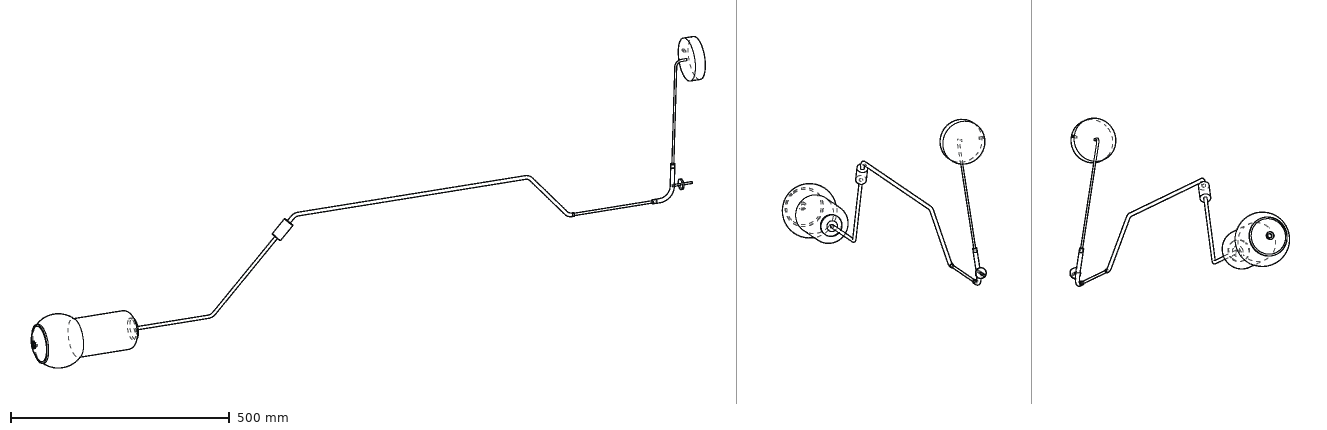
import cadquery as cq
import math

SWING_ANGLE = 8.32
YAW_ANGLE = 0.4
TILT_ANGLE = 1.9

CANOPY_DIAMETER = 100.0
CANOPY_THICKNESS = 25.0
GRUB_HOLE_DIAMETER = 5.0
GRUB_HOLE_DEPTH = 10.0

HANGER_DIAMETER = 5.0
SLEEVE_DIAMETER = 10.0
LOWER_ROD_DIAMETER = 6.0
ARM_DIAMETER = 9.0
END_ROD_DIAMETER = 8.0
SLEEVE_SOCKET_DEPTH = 10.0
ARM_SOCKET_DEPTH = 4.0

HANGER_OUT = 52.0
ELBOW_HEIGHT = -348.0
ARM_START_OUT = 296.0
LOWER_BEND_OUT = 309.0
UPPER_BEND_OUT = 411.0
ARM_HEIGHT = -234.0
ARM_END_OUT = 993.0
END_ROD_HEIGHT = -458.5
END_BEND_OUT = 1193.0
HANGER_BEND_RADIUS = 14.0
ELBOW_RADIUS = 30.0
ARM_BEND_RADIUS = 20.0
SLEEVE_TOP_HEIGHT = -260.0
SLEEVE_END_OUT = 100.0

SCREW_HEIGHT = -315.0
SCREW_DIAMETER = 5.0
SCREW_TIP_OUT = 3.0
THUMB_DISC_DIAMETER = 25.0
THUMB_DISC_THICKNESS = 4.0
THUMB_DISC_OUT = 28.0

WEIGHT_DIAMETER = 25.0
WEIGHT_LENGTH = 45.0
WEIGHT_START = 22.0

NECK_DIAMETER = 25.0
NECK_LENGTH = 5.0
FLANGE_DIAMETER = 50.0
FLANGE_THICKNESS = 6.0
FLANGE_OUT = 1381.0
HEAD_DIAMETER = 90.0
SHOULDER_ROUNDING = 16.0
GLOBE_DIAMETER = 125.0
GLOBE_OUT = 1574.5
LENS_DIAMETER = 82.0
LENS_HOLE_DIAMETER = 18.0
LENS_HOLE_DEPTH = 3.0
LENS_PIN_HOLE_DIAMETER = 10.0
LENS_PIN_HOLE_DEPTH = 8.0


def point(out, height):
    return cq.Vector(0, -out, height)


def toward(start, end, distance):
    """The point at a distance from start on the line to end."""
    return start + (end - start).normalized() * distance


def rod(diameter, points, bend_radius=0.0):
    """A round rod through the points, each inner corner bent to the given radius."""
    edges = []
    start = points[0]
    for before, corner, after in zip(points, points[1:], points[2:]):
        back = (before - corner).normalized()
        ahead = (after - corner).normalized()
        half_angle = back.getAngle(ahead) / 2
        setback = bend_radius / math.tan(half_angle)
        bisector = (back + ahead).normalized()
        middle = corner + bisector * (bend_radius / math.sin(half_angle) - bend_radius)
        bend_start = corner + back * setback
        bend_end = corner + ahead * setback
        edges.append(cq.Edge.makeLine(start, bend_start))
        edges.append(cq.Edge.makeThreePointArc(bend_start, middle, bend_end))
        start = bend_end
    edges.append(cq.Edge.makeLine(start, points[-1]))
    path = cq.Workplane(cq.Wire.assembleEdges(edges))
    profile_plane = cq.Plane(points[0], xDir=(1, 0, 0), normal=points[1] - points[0])
    return cq.Workplane(profile_plane).circle(diameter / 2).sweep(path)


def cylinder(diameter, length, start, direction):
    plane = cq.Plane(start, xDir=(1, 0, 0), normal=direction)
    return cq.Workplane(plane).circle(diameter / 2).extrude(length)


OUTWARD = cq.Vector(0, -1, 0)
INWARD = cq.Vector(0, 1, 0)

hanger_corner = point(HANGER_OUT, 0)
elbow_corner = point(HANGER_OUT, ELBOW_HEIGHT)
lower_bend = point(LOWER_BEND_OUT, ELBOW_HEIGHT)
upper_bend = point(UPPER_BEND_OUT, ARM_HEIGHT)
arm_end = point(ARM_END_OUT, ARM_HEIGHT)
end_bend = point(END_BEND_OUT, END_ROD_HEIGHT)
slope_down = (end_bend - arm_end).normalized()
weight_top = toward(arm_end, end_bend, WEIGHT_START)
weight_bottom = toward(arm_end, end_bend, WEIGHT_START + WEIGHT_LENGTH)


def make_canopy():
    """Round plate with a grub-screw hole in its -X side."""
    plate = cylinder(CANOPY_DIAMETER, CANOPY_THICKNESS, point(0, 0), OUTWARD)
    grub_hole = (
        cq.Workplane("YZ", origin=(-CANOPY_DIAMETER / 2, -CANOPY_THICKNESS / 2, 0))
        .circle(GRUB_HOLE_DIAMETER / 2)
        .extrude(GRUB_HOLE_DEPTH)
    )
    return plate.cut(grub_hole)


def make_hanger():
    """Rod that leaves the canopy, bends down and enters the top of the sleeve."""
    top = point(CANOPY_THICKNESS, 0)
    bottom = point(HANGER_OUT, SLEEVE_TOP_HEIGHT - SLEEVE_SOCKET_DEPTH)
    return rod(HANGER_DIAMETER, [top, hanger_corner, bottom], HANGER_BEND_RADIUS)


def make_lower_rod():
    """Thin rod between a socket in the sleeve and a socket in the arm."""
    start = point(SLEEVE_END_OUT - SLEEVE_SOCKET_DEPTH, ELBOW_HEIGHT)
    end = point(ARM_START_OUT + ARM_SOCKET_DEPTH, ELBOW_HEIGHT)
    return rod(LOWER_ROD_DIAMETER, [start, end])


def make_sleeve(hanger, lower_rod, screw):
    """Elbow bored to take the hanger, the lower rod and the thumbscrew."""
    top = point(HANGER_OUT, SLEEVE_TOP_HEIGHT)
    end = point(SLEEVE_END_OUT, ELBOW_HEIGHT)
    sleeve = rod(SLEEVE_DIAMETER, [top, elbow_corner, end], ELBOW_RADIUS)
    return sleeve.cut(hanger).cut(lower_rod).cut(screw)


def make_thumbscrew():
    """Thumb disc on a shank that ends on the axis of the sleeve."""
    disc_start = point(THUMB_DISC_OUT, SCREW_HEIGHT)
    disc = cylinder(THUMB_DISC_DIAMETER, THUMB_DISC_THICKNESS, disc_start, OUTWARD)
    shank_start = point(SCREW_TIP_OUT, SCREW_HEIGHT)
    shank = cylinder(SCREW_DIAMETER, HANGER_OUT - SCREW_TIP_OUT, shank_start, OUTWARD)
    return shank.union(disc)


def make_arm(lower_rod):
    """Tube through three bends, from the lower rod down to the weight."""
    points = [point(ARM_START_OUT, ELBOW_HEIGHT), lower_bend, upper_bend, arm_end, weight_top]
    return rod(ARM_DIAMETER, points, ARM_BEND_RADIUS).cut(lower_rod)


def make_weight():
    return cylinder(WEIGHT_DIAMETER, WEIGHT_LENGTH, weight_top, slope_down)


def make_end_rod():
    """Rod from the weight, bent to run level into the neck of the lamp head."""
    neck_start = point(FLANGE_OUT, END_ROD_HEIGHT)
    return rod(END_ROD_DIAMETER, [weight_bottom, end_bend, neck_start], ARM_BEND_RADIUS)


SHADE_OUT = FLANGE_OUT + NECK_LENGTH + FLANGE_THICKNESS
LENS_SEAT_OUT = GLOBE_OUT + math.sqrt(GLOBE_DIAMETER**2 - LENS_DIAMETER**2) / 2


def make_head():
    """Neck, flange, round-shouldered tube and globe, turned about the line of the end rod."""
    tube_radius = HEAD_DIAMETER / 2
    neck_end = FLANGE_OUT + NECK_LENGTH
    globe_reach = math.sqrt(GLOBE_DIAMETER**2 - HEAD_DIAMETER**2) / 2
    shoulder_mid = SHOULDER_ROUNDING * (1 - math.sqrt(0.5))
    profile = (
        cq.Workplane("XY", origin=(0, 0, END_ROD_HEIGHT))
        .moveTo(0, -FLANGE_OUT)
        .lineTo(NECK_DIAMETER / 2, -FLANGE_OUT)
        .lineTo(FLANGE_DIAMETER / 2, -neck_end)
        .lineTo(FLANGE_DIAMETER / 2, -SHADE_OUT)
        .lineTo(tube_radius - SHOULDER_ROUNDING, -SHADE_OUT)
        .threePointArc(
            (tube_radius - shoulder_mid, -SHADE_OUT - shoulder_mid),
            (tube_radius, -SHADE_OUT - SHOULDER_ROUNDING),
        )
        .lineTo(tube_radius, -GLOBE_OUT + globe_reach)
        .threePointArc((GLOBE_DIAMETER / 2, -GLOBE_OUT), (tube_radius, -GLOBE_OUT - globe_reach))
        .lineTo(tube_radius, -LENS_SEAT_OUT)
        .lineTo(0, -LENS_SEAT_OUT)
        .close()
    )
    return profile.revolve(360, (0, 0), (0, 1))


def make_lens():
    """Spherical cap on the end of the tube, with a stepped hole at its middle."""
    tip_out = GLOBE_OUT + GLOBE_DIAMETER / 2
    tip = point(tip_out, END_ROD_HEIGHT)
    seat = point(LENS_SEAT_OUT, END_ROD_HEIGHT)
    seat_zone = cylinder(LENS_DIAMETER, tip_out - LENS_SEAT_OUT, seat, OUTWARD)
    globe = cq.Workplane(cq.Plane(point(GLOBE_OUT, END_ROD_HEIGHT))).sphere(GLOBE_DIAMETER / 2)
    hole = cylinder(LENS_HOLE_DIAMETER, LENS_HOLE_DEPTH, tip, INWARD)
    pin_hole = cylinder(LENS_PIN_HOLE_DIAMETER, LENS_PIN_HOLE_DEPTH, tip, INWARD)
    return globe.intersect(seat_zone).cut(hole).cut(pin_hole)


def hang(body):
    """Turn a body from the upright plane to the way the lamp hangs."""
    origin = (0, 0, 0)
    swung = body.rotate(origin, (0, 1, 0), SWING_ANGLE)
    turned = swung.rotate(origin, (0, 0, 1), YAW_ANGLE)
    return turned.rotate(origin, (1, 0, 0), TILT_ANGLE)


canopy = make_canopy()
hanger = make_hanger()
thumbscrew = make_thumbscrew()
lower_rod = make_lower_rod()
sleeve = make_sleeve(hanger, lower_rod, thumbscrew)
arm = make_arm(lower_rod)
weight = make_weight()
end_rod = make_end_rod()
head = make_head()
lens = make_lens()
bodies = [canopy, hanger, thumbscrew, lower_rod, sleeve, arm, weight, end_rod, head, lens]
result = cq.Compound.makeCompound([hang(body).val() for body in bodies])